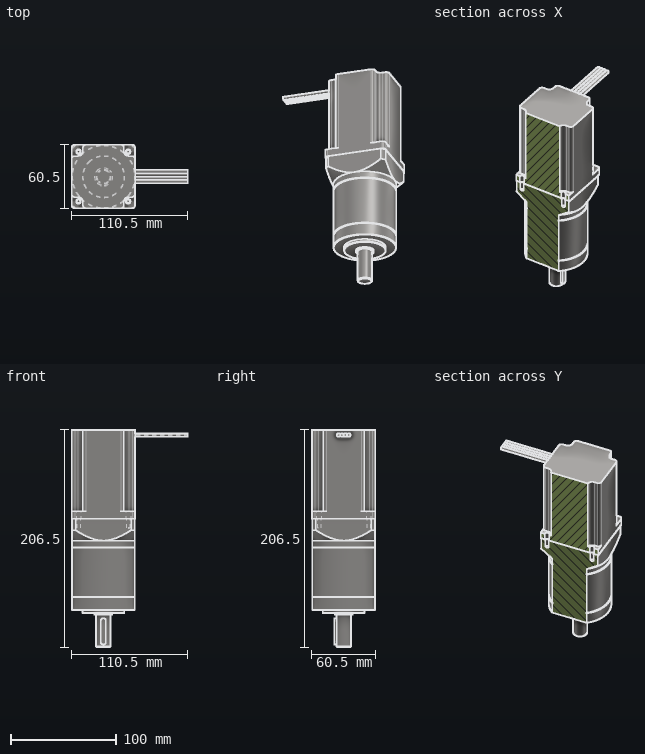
import cadquery as cq
import math


cut_clearance = 1.0

motor_width = 60.5
flange_thickness = 7.4
flange_corner_radius = 3.0
motor_length = 84.6
notch_wall = 19.5
notch_root_radius = 4.6
notch_lip_radius = 3.0
screw_spacing = 47.14
screw_hole_diameter = 4.5

wire_count = 4
wire_diameter = 3.3
wire_pitch = 3.25
wire_length = 50.0
wire_embedment = 1.0
wire_depth_from_top = 4.9

gearbox_diameter = 60.0
adapter_diameter = 80.0
cone_end = -20.6
cone_start = cone_end + (adapter_diameter - gearbox_diameter) / 2
gearbox_end = -86.8
gearbox_edge_chamfer = 0.5
groove_positions = [-27.2, -74.4]
groove_width = 0.5
groove_depth = 0.5
tapped_hole_diameter = 3.3
tapped_hole_depth = 8.0
drill_point_angle = 118.0

pilot_diameter = 40.0
pilot_height = 3.0
pilot_chamfer = 0.5
collar_diameter = 17.0
collar_height = 1.2
shaft_diameter = 14.0
overall_length = 206.5
shaft_end = motor_length - overall_length
shaft_chamfer = 0.8
key_width = 5.0
key_length = 25.0
key_top = 9.0
key_end_gap = 2.5


def make_screw_pattern(top):
    """Workplane at height top, holding the four screw centres."""
    return (
        cq.Workplane("XY", origin=(0, 0, top))
        .rect(screw_spacing, screw_spacing, forConstruction=True)
        .vertices()
    )


def make_corner_notch(x_side, y_side):
    """Notch beside one motor corner, with a rounded root and rounded lips."""
    face = motor_width / 2
    outside = face + cut_clearance
    lip_start = notch_wall - notch_lip_radius
    lip_end = face - notch_lip_radius
    lip_middle = notch_lip_radius * math.sqrt(0.5)
    root_centre = notch_wall + notch_root_radius
    root_middle = root_centre - notch_root_radius * math.sqrt(0.5)

    def at(x, y):
        return (x_side * x, y_side * y)

    return (
        cq.Workplane("XY", origin=(0, 0, flange_thickness))
        .moveTo(*at(outside, outside))
        .lineTo(*at(lip_start, outside))
        .lineTo(*at(lip_start, face))
        .threePointArc(at(lip_start + lip_middle, lip_end + lip_middle), at(notch_wall, lip_end))
        .lineTo(*at(notch_wall, root_centre))
        .threePointArc(at(root_middle, root_middle), at(root_centre, notch_wall))
        .lineTo(*at(lip_end, notch_wall))
        .threePointArc(at(lip_end + lip_middle, lip_start + lip_middle), at(face, lip_start))
        .lineTo(*at(outside, lip_start))
        .close()
        .extrude(motor_length - flange_thickness)
    )


def make_motor():
    body = (
        cq.Workplane("XY")
        .rect(motor_width, motor_width)
        .extrude(motor_length)
        .edges("|Z")
        .fillet(flange_corner_radius)
    )
    for x_side in (-1, 1):
        for y_side in (-1, 1):
            body = body.cut(make_corner_notch(x_side, y_side))
    screw_holes = (
        make_screw_pattern(flange_thickness)
        .circle(screw_hole_diameter / 2)
        .extrude(-flange_thickness)
    )
    body = body.cut(screw_holes)
    wire_start = motor_width / 2 - wire_embedment
    for index in range(wire_count):
        y = (index - (wire_count - 1) / 2) * wire_pitch
        wire = (
            cq.Workplane("YZ", origin=(wire_start, y, motor_length - wire_depth_from_top))
            .circle(wire_diameter / 2)
            .extrude(wire_length + wire_embedment)
        )
        body = body.union(wire)
    return body


def make_adapter():
    """Square adapter turned to a cone that runs down into the gearbox cylinder."""
    turned = (
        cq.Workplane("XZ")
        .polyline([
            (0, 0),
            (adapter_diameter / 2, 0),
            (adapter_diameter / 2, cone_start),
            (gearbox_diameter / 2, cone_end),
            (0, cone_end),
        ])
        .close()
        .revolve(360, (0, 0, 0), (0, 1, 0))
    )
    square = cq.Workplane("XY").rect(gearbox_diameter, gearbox_diameter).extrude(cone_end)
    return turned.intersect(square)


def make_key():
    return (
        cq.Workplane("XZ", origin=(0, 0, shaft_end + key_end_gap + key_length / 2))
        .slot2D(key_length, key_width, 90)
        .extrude(key_top)
    )


def make_tapped_holes():
    """Four blind screw holes with drill-point bottoms."""
    radius = tapped_hole_diameter / 2
    point_depth = radius / math.tan(math.radians(drill_point_angle / 2))
    hole = (
        cq.Workplane("XZ")
        .polyline([
            (0, 0),
            (radius, 0),
            (radius, -tapped_hole_depth),
            (0, -tapped_hole_depth - point_depth),
        ])
        .close()
        .revolve(360, (0, 0, 0), (0, 1, 0))
        .val()
    )
    return make_screw_pattern(0).eachpoint(lambda centre: hole.moved(centre), combine=False)


def make_gearbox():
    barrel = (
        cq.Workplane("XY", origin=(0, 0, cone_end))
        .circle(gearbox_diameter / 2)
        .extrude(gearbox_end - cone_end)
        .faces("<Z")
        .chamfer(gearbox_edge_chamfer)
    )
    for z in groove_positions:
        groove = (
            cq.Workplane("XY", origin=(0, 0, z - groove_width / 2))
            .circle(gearbox_diameter / 2 + cut_clearance)
            .circle(gearbox_diameter / 2 - groove_depth)
            .extrude(groove_width)
        )
        barrel = barrel.cut(groove)
    pilot = (
        cq.Workplane("XY", origin=(0, 0, gearbox_end))
        .circle(pilot_diameter / 2)
        .extrude(-pilot_height)
        .faces("<Z")
        .chamfer(pilot_chamfer)
    )
    collar = (
        cq.Workplane("XY", origin=(0, 0, gearbox_end - pilot_height))
        .circle(collar_diameter / 2)
        .extrude(-collar_height)
    )
    shaft = (
        cq.Workplane("XY", origin=(0, 0, gearbox_end))
        .circle(shaft_diameter / 2)
        .extrude(shaft_end - gearbox_end)
        .faces("<Z")
        .chamfer(shaft_chamfer)
    )
    body = make_adapter().union(barrel).union(pilot).union(collar).union(shaft).union(make_key())
    return body.cut(make_tapped_holes())


motor = make_motor()
gearbox = make_gearbox()
result = cq.Compound.makeCompound([motor.val(), gearbox.val()])